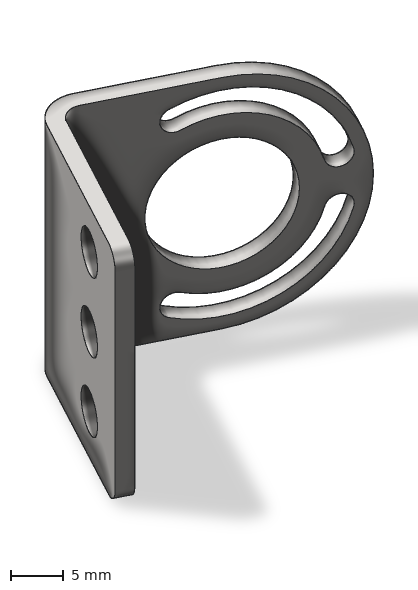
import cadquery as cq
import math

length_x = 25.0
length_y = 33.0
height = 30.0
thickness = 1.95
inner_bend_radius = 1.95
outer_bend_radius = inner_bend_radius + thickness

corner_radius = 2.0
mount_hole_diameter = 5.05
mount_hole_x = 17.0
mount_hole_pitch = 9.5
mount_hole_count = 3

mid_z = height / 2
round_radius = height / 2
bore_y = length_y - round_radius
bore_diameter = 15.3
slot_radius = 12.0
slot_width = 2.97
slot_start_angle = 15.0
slot_end_angle = 113.0


def bent_sheet():
    """L-shaped sheet with its outer corner at the origin."""
    return (
        cq.Workplane("XY")
        .moveTo(outer_bend_radius, 0)
        .lineTo(length_x, 0)
        .lineTo(length_x, thickness)
        .lineTo(outer_bend_radius, thickness)
        .radiusArc((thickness, outer_bend_radius), inner_bend_radius)
        .lineTo(thickness, length_y)
        .lineTo(0, length_y)
        .lineTo(0, outer_bend_radius)
        .radiusArc((outer_bend_radius, 0), -outer_bend_radius)
        .close()
        .extrude(height)
    )


def arc_slot(side):
    """Cutter for a round-ended arc slot; side is +1 above the bore and -1 below it."""

    def polar(radius, angle):
        turn = math.radians(angle)
        return (bore_y + radius * math.cos(turn), mid_z + side * radius * math.sin(turn))

    inner = slot_radius - slot_width / 2
    outer = slot_radius + slot_width / 2
    middle_angle = (slot_start_angle + slot_end_angle) / 2
    slot = (
        cq.Workplane("YZ")
        .moveTo(*polar(inner, slot_start_angle))
        .threePointArc(polar(inner, middle_angle), polar(inner, slot_end_angle))
        .lineTo(*polar(outer, slot_end_angle))
        .threePointArc(polar(outer, middle_angle), polar(outer, slot_start_angle))
        .close()
        .extrude(thickness)
    )
    end_centers = [polar(slot_radius, slot_start_angle), polar(slot_radius, slot_end_angle)]
    ends = cq.Workplane("YZ").pushPoints(end_centers).circle(slot_width / 2).extrude(thickness)
    return slot.union(ends)


def mount_holes():
    """Cutters for the vertical row of holes, centred on the flange height."""
    first_z = mid_z - mount_hole_pitch * (mount_hole_count - 1) / 2
    centers = [(mount_hole_x, first_z + i * mount_hole_pitch) for i in range(mount_hole_count)]
    return cq.Workplane("XZ").pushPoints(centers).circle(mount_hole_diameter / 2).extrude(-thickness)


def rounded_end_envelope():
    """Volume that trims the +Y end of the sheet to a half circle."""
    return (
        cq.Workplane("YZ")
        .lineTo(bore_y, 0)
        .threePointArc((length_y, mid_z), (bore_y, height))
        .lineTo(0, height)
        .close()
        .extrude(length_x)
    )


bracket = bent_sheet().edges("|Y and >X").fillet(corner_radius)
bracket = bracket.intersect(rounded_end_envelope())
bracket = bracket.cut(mount_holes())

bore = cq.Workplane("YZ").center(bore_y, mid_z).circle(bore_diameter / 2).extrude(thickness)
bracket = bracket.cut(bore)

for slot_side in (1, -1):
    bracket = bracket.cut(arc_slot(slot_side))

result = bracket